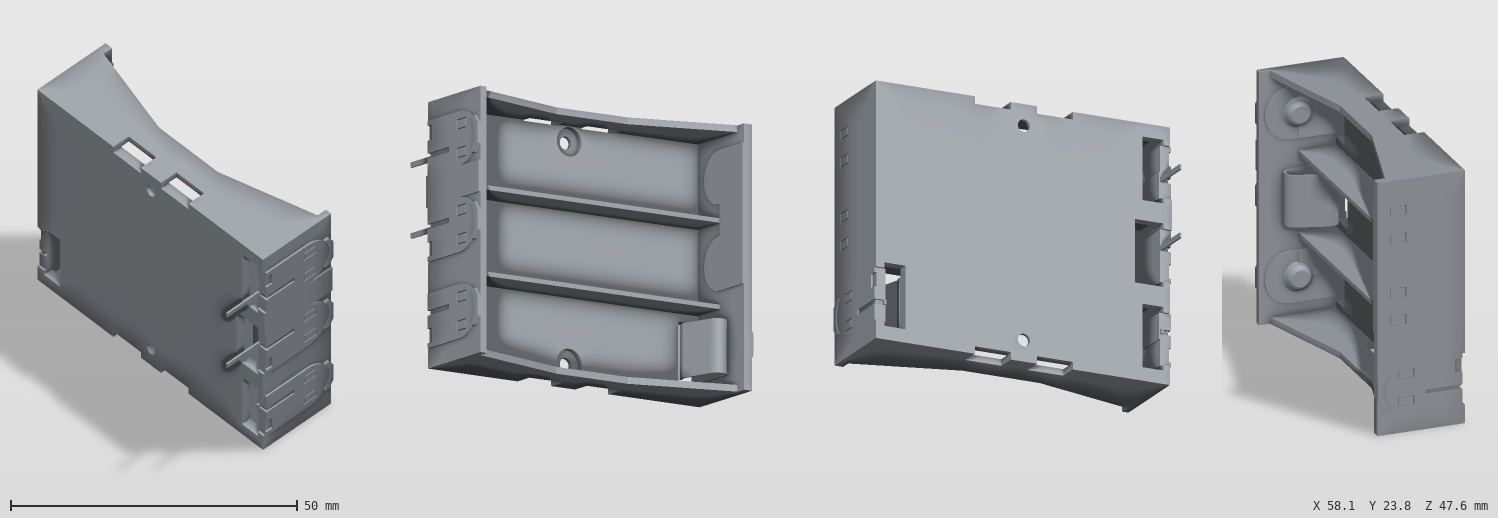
import cadquery as cq
import math

HALF_WIDTH = 28.8
HEIGHT = 47.6
RIM_Y = 16.45
END_WALL = 1.7
SIDE_WALL = 1.2
FLOOR = 2.0
CELL_PITCH = 15.45
CELL_AXIS_Y = 9.3
DIVIDER = 0.8
SHOULDER_Y = 14.4
VALLEY_Y = 9.05
VALLEY_HALF = 7.5

HOLE_DIAMETER = 2.3
COUNTERBORE_DIAMETER = 5.2
COUNTERBORE_Y = 0.75
HOLE_INSET = 4.0

SLOT_WIDTH = 6.95
SLOT_HEIGHT = 3.7
SLOT_NOTCH = 1.4
SLOT_OFFSET = 6.05

WINDOW_HEIGHT = 11.75
WINDOW_WIDTH = 4.05
WIDE_WINDOW = 5.45

BUMP_PROUD = 0.25
BUMP_HALF = 3.3
BUMP_TOP_HALF = 1.85
BUMP_CHAMFER_Y = 1.0
BUMP_LENGTH = 2.1

SHEET = 0.38
LEG_HALF = 4.9
LEG_ARC_Y = 10.55
WEB_Y = 0.45
CATCH_OFFSET = 2.55
CATCH_LENGTH = 3.0
CATCH_WIDTH = 1.85
CATCH_GAP = 0.2
CATCH_Y = 11.05
BRIDGE_CATCH_Y = 12.55
PIN_WIDTH = 0.95
PIN_OFFSET = 1.4
PIN_LENGTH = 7.3
PIN_SLOT_Y = 7.25
NOTCH_OFFSET = 2.7
NOTCH_WIDTH = 2.6
NOTCH_Y = 1.9

DOME_BASE_RADIUS = 2.85
DOME_NECK_RADIUS = 2.4
DOME_TIP_RADIUS = 1.55
DOME_SHOULDER_RADIUS = 2.2
DOME_FLARE = 0.4
DOME_HEIGHT = 1.5
STEP = 0.25

ARCH_RADIUS = 1.45
LEAF_TILT = math.radians(17)
LEAF_LENGTH = 6.1
LIP_TILT = math.radians(15)
LIP_LENGTH = 1.6

RIGHT_FACE = HALF_WIDTH - SHEET
WALL_INNER = HALF_WIDTH - END_WALL
LEG_INNER = WALL_INNER - SHEET
WEB_TOP = WEB_Y + SHEET
TOP_CELL = CELL_PITCH
MID_CELL = 0.0
LOW_CELL = -CELL_PITCH
LEFT = -1
RIGHT = 1


def block(x0, x1, y0, y1, z0, z1):
    """Box between two opposite corners."""
    size = (x1 - x0, y1 - y0, z1 - z0)
    return cq.Workplane("XY").box(*size, centered=False).translate((x0, y0, z0))


def band(x0, x1, y0, y1, z, width):
    """Box centred on height z."""
    return block(x0, x1, y0, y1, z - width / 2, z + width / 2)


def disc(x0, x1, y, z, radius):
    """Cylinder along X."""
    return cq.Workplane("YZ").center(y, z).circle(radius).extrude(x1 - x0).translate((x0, 0, 0))


def on_side(shape, side):
    """Shapes are drawn for the +X end; mirror them for the -X end."""
    return shape if side == RIGHT else shape.mirror("YZ")


def leg_blank(x0, x1, z, start_y, arc_y):
    """Plate with one square end at start_y and one round end beyond arc_y."""
    straight = band(x0, x1, min(start_y, arc_y), max(start_y, arc_y), z, 2 * LEG_HALF)
    return straight.union(disc(x0, x1, arc_y, z, LEG_HALF))


def catches(y, z, gap):
    """Pair of catch blocks in an outer leg, shrunk by gap on every side."""
    length = CATCH_LENGTH - 2 * gap
    width = CATCH_WIDTH - 2 * gap
    pair = cq.Workplane("XY")
    for offset in (-CATCH_OFFSET, CATCH_OFFSET):
        pair = pair.add(band(RIGHT_FACE, HALF_WIDTH, y - length / 2, y + length / 2, z + offset, width))
    return pair.combine()


def tray():
    """Open tray with sloping side walls and dividers between the cells."""
    half = HEIGHT / 2
    profile = [
        (-HALF_WIDTH, 0), (RIGHT_FACE, 0), (RIGHT_FACE, RIM_Y), (WALL_INNER, RIM_Y),
        (WALL_INNER, SHOULDER_Y), (VALLEY_HALF, VALLEY_Y), (-VALLEY_HALF, VALLEY_Y),
        (-WALL_INNER, SHOULDER_Y), (-WALL_INNER, RIM_Y), (-HALF_WIDTH, RIM_Y),
    ]
    sides = cq.Workplane("XY").polyline(profile).close().extrude(HEIGHT).translate((0, 0, -half))
    ends = block(-HALF_WIDTH, RIGHT_FACE, 0, RIM_Y, -half, half)
    cavity = block(-WALL_INNER, WALL_INNER, FLOOR, RIM_Y, SIDE_WALL - half, half - SIDE_WALL)
    above = block(-WALL_INNER, WALL_INNER, FLOOR, RIM_Y, -half, half)
    body = sides.cut(cavity).union(ends.cut(above))
    for z in (-CELL_PITCH / 2, CELL_PITCH / 2):
        body = body.union(band(-WALL_INNER, WALL_INNER, FLOOR, VALLEY_Y, z, DIVIDER))
    return body


def cut_side_slots(body):
    """Two slots through each side wall, running into the floor edge."""
    for x in (-SLOT_OFFSET, SLOT_OFFSET):
        for side in (-1, 1):
            z = side * (HEIGHT - SLOT_NOTCH) / 2
            body = body.cut(band(x - SLOT_WIDTH / 2, x + SLOT_WIDTH / 2, 0, SLOT_HEIGHT, z, SLOT_NOTCH))
    return body


def cut_mounting_holes(body):
    """Screw holes through the floor, counterbored from inside."""
    for side in (-1, 1):
        z = side * (HEIGHT / 2 - HOLE_INSET)
        hole = cq.Workplane("XZ").center(0, z).circle(HOLE_DIAMETER / 2).extrude(-FLOOR)
        counterbore = cq.Workplane("XZ").center(0, z).circle(COUNTERBORE_DIAMETER / 2).extrude(-FLOOR)
        body = body.cut(hole).cut(counterbore.translate((0, COUNTERBORE_Y, 0)))
    return body


def bump(z):
    """Chamfered pad at the rim, outside the round end of the contact leg."""
    low_y = RIM_Y - BUMP_LENGTH
    chamfer_y = RIM_Y - BUMP_CHAMFER_Y
    outline = [
        (low_y, -BUMP_HALF), (chamfer_y, -BUMP_HALF), (RIM_Y, -BUMP_TOP_HALF),
        (RIM_Y, BUMP_TOP_HALF), (chamfer_y, BUMP_HALF), (low_y, BUMP_HALF),
    ]
    outer = HALF_WIDTH + BUMP_PROUD
    pad = cq.Workplane("YZ").polyline(outline).close().extrude(outer - RIGHT_FACE)
    return pad.translate((RIGHT_FACE, 0, z)).cut(disc(RIGHT_FACE, outer, LEG_ARC_Y, z, LEG_HALF))


def add_contact_seat(body, z, side, window):
    """Floor window, web recess, leg recess, catches and rim bump of one end contact."""
    opening = band(WALL_INNER - window, WALL_INNER, 0, FLOOR, z, WINDOW_HEIGHT)
    web_recess = band(WALL_INNER, HALF_WIDTH, 0, WEB_TOP, z, 2 * LEG_HALF)
    leg_recess = leg_blank(RIGHT_FACE, HALF_WIDTH, z, 0, LEG_ARC_Y)
    for cutter in (opening, web_recess, leg_recess):
        body = body.cut(on_side(cutter, side))
    for addition in (catches(CATCH_Y, z, CATCH_GAP), bump(z)):
        body = body.union(on_side(addition, side))
    return body


def add_bridge_seat(body, z):
    """Rim recess, leg recess and catches of one half of the bridge contact."""
    web_recess = band(WALL_INNER, HALF_WIDTH, RIM_Y - SHEET, RIM_Y, z, 2 * LEG_HALF)
    leg_recess = leg_blank(RIGHT_FACE, HALF_WIDTH, z, RIM_Y, CELL_AXIS_Y)
    for cutter in (web_recess, leg_recess):
        body = body.cut(on_side(cutter, LEFT))
    return body.union(on_side(catches(BRIDGE_CATCH_Y, z, CATCH_GAP), LEFT))


def make_housing():
    body = cut_mounting_holes(cut_side_slots(tray()))
    body = body.union(block(RIGHT_FACE, HALF_WIDTH, 0, RIM_Y, MID_CELL + LEG_HALF, TOP_CELL - LEG_HALF))
    body = add_contact_seat(body, TOP_CELL, RIGHT, WINDOW_WIDTH)
    body = add_contact_seat(body, MID_CELL, RIGHT, WIDE_WINDOW)
    body = add_contact_seat(body, LOW_CELL, RIGHT, WINDOW_WIDTH)
    body = add_contact_seat(body, LOW_CELL, LEFT, WINDOW_WIDTH)
    for z in (TOP_CELL, MID_CELL):
        body = add_bridge_seat(body, z)
    return body


def contact_clip(z, pin_side, pin_length):
    """Outer leg and web around the base of the end wall, with the pin and the slot it leaves."""
    pin_z = z + pin_side * PIN_OFFSET
    notch_z = z - pin_side * NOTCH_OFFSET
    clip = leg_blank(RIGHT_FACE, HALF_WIDTH, z, WEB_Y, LEG_ARC_Y)
    clip = clip.union(band(LEG_INNER, HALF_WIDTH, WEB_Y, WEB_TOP, z, 2 * LEG_HALF))
    clip = clip.cut(catches(CATCH_Y, z, 0))
    clip = clip.cut(band(RIGHT_FACE, HALF_WIDTH, WEB_Y, NOTCH_Y, notch_z, NOTCH_WIDTH))
    clip = clip.cut(band(WALL_INNER, HALF_WIDTH, WEB_Y, WEB_TOP, pin_z, PIN_WIDTH))
    clip = clip.cut(band(RIGHT_FACE, HALF_WIDTH, WEB_Y, PIN_SLOT_Y, pin_z, PIN_WIDTH))
    return clip.union(band(LEG_INNER, WALL_INNER, -pin_length, WEB_TOP, pin_z, PIN_WIDTH))


def dome_leg(z, pin_side):
    """Round-ended inner leg, thicker on the pin's half, with a button for a cell's tip."""
    flare_x = LEG_INNER - DOME_FLARE
    tip_x = LEG_INNER - DOME_HEIGHT
    shoulder = ((flare_x + tip_x) / 2, DOME_SHOULDER_RADIUS)
    button = (
        cq.Workplane("XY")
        .moveTo(LEG_INNER, 0)
        .lineTo(LEG_INNER, DOME_BASE_RADIUS)
        .lineTo(flare_x, DOME_NECK_RADIUS)
        .threePointArc(shoulder, (tip_x, DOME_TIP_RADIUS))
        .lineTo(tip_x, 0)
        .close()
        .revolve(360, (0, 0), (1, 0))
        .translate((0, CELL_AXIS_Y, z))
    )
    leg = leg_blank(LEG_INNER, WALL_INNER, z, WEB_Y, LEG_ARC_Y)
    step_z = z + pin_side * LEG_HALF / 2
    step = band(LEG_INNER - STEP, LEG_INNER, WEB_Y, CELL_AXIS_Y, step_z, LEG_HALF)
    return leg.union(step).union(button)


def spring_leg(z):
    """Inner leg that arches over, hangs down away from the wall and bends back at a knee."""
    centre_x = LEG_INNER - ARCH_RADIUS
    outer_radius = ARCH_RADIUS + SHEET

    def polar(radius, angle):
        return (centre_x + radius * math.cos(angle), LEG_ARC_Y + radius * math.sin(angle))

    def hang(point, tilt, distance):
        """Go down from a point; positive tilt leads away from the wall."""
        return (point[0] - distance * math.sin(tilt), point[1] - distance * math.cos(tilt))

    arch_top = math.pi / 2
    arch_end = math.pi - LEAF_TILT
    miter = SHEET * math.tan((LEAF_TILT + LIP_TILT) / 2)
    knee_inner = hang(polar(ARCH_RADIUS, arch_end), LEAF_TILT, LEAF_LENGTH)
    knee_outer = hang(polar(outer_radius, arch_end), LEAF_TILT, LEAF_LENGTH + miter)
    tip_inner = hang(knee_inner, -LIP_TILT, LIP_LENGTH)
    tip_outer = hang(knee_outer, -LIP_TILT, LIP_LENGTH + miter)
    profile = (
        cq.Workplane("XY")
        .moveTo(LEG_INNER, WEB_Y)
        .lineTo(LEG_INNER, LEG_ARC_Y)
        .threePointArc(polar(ARCH_RADIUS, arch_top), polar(ARCH_RADIUS, arch_end))
        .lineTo(*knee_inner)
        .lineTo(*tip_inner)
        .lineTo(*tip_outer)
        .lineTo(*knee_outer)
        .lineTo(*polar(outer_radius, arch_end))
        .threePointArc(polar(outer_radius, arch_top), polar(outer_radius, 0))
        .lineTo(WALL_INNER, WEB_Y)
        .close()
    )
    return profile.extrude(2 * LEG_HALF).translate((0, 0, z - LEG_HALF))


def make_dome_contact(z, pin_side, pin_length):
    return contact_clip(z, pin_side, pin_length).union(dome_leg(z, pin_side))


def make_spring_contact(z, side, pin_side, pin_length):
    return on_side(contact_clip(z, pin_side, pin_length).union(spring_leg(z)), side)


def make_bridge_contact():
    """Contact hung over the rim of the -X wall, joining the top and middle cells."""
    bridge = block(LEG_INNER, WALL_INNER, CELL_AXIS_Y, RIM_Y, MID_CELL, TOP_CELL)
    for z in (TOP_CELL, MID_CELL):
        outer_leg = leg_blank(RIGHT_FACE, HALF_WIDTH, z, RIM_Y, CELL_AXIS_Y)
        inner_leg = leg_blank(LEG_INNER, WALL_INNER, z, RIM_Y, CELL_AXIS_Y)
        web = band(LEG_INNER, HALF_WIDTH, RIM_Y - SHEET, RIM_Y, z, 2 * LEG_HALF)
        bridge = bridge.union(inner_leg).union(web).union(outer_leg.cut(catches(BRIDGE_CATCH_Y, z, 0)))
    return on_side(bridge, LEFT)


housing = make_housing()
bridge_contact = make_bridge_contact()
dome_contacts = [
    make_dome_contact(TOP_CELL, -1, PIN_LENGTH),
    make_dome_contact(LOW_CELL, 1, 0),
]
spring_contacts = [
    make_spring_contact(MID_CELL, RIGHT, 1, PIN_LENGTH),
    make_spring_contact(LOW_CELL, LEFT, -1, 0),
]

bodies = [housing, bridge_contact, *dome_contacts, *spring_contacts]
result = cq.Compound.makeCompound([body.solids().val() for body in bodies])